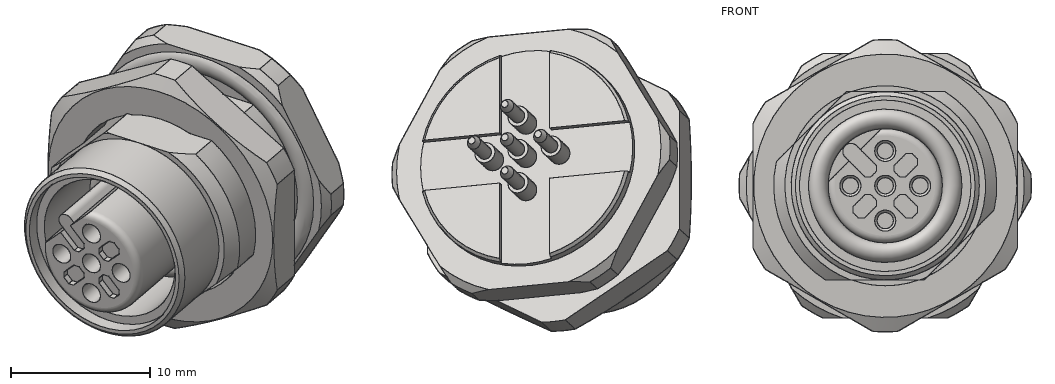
import cadquery as cq


insert_radius = 8.2 / 2
insert_edge_radius = 0.5
insert_flat = 3.1
key_angle = 135
pitch_radius = 2.5

hole_radius = 0.75
hole_seat_radius = 1.15 / 2
hole_depth = 3.0

pocket_width = 1.15
pocket_inner = 1.18
pocket_outer = 3.0
pocket_corner = 0.28
pocket_depth = 0.5
key_radius = pocket_width / 2
key_center = 3.5

sleeve_radius = 6.75
sleeve_front = 1.5
sleeve_chamfer = 0.3
mouth_radius = 12.3 / 2
mouth_depth = 1.0
bore_radius = 5.5
bore_floor = 8.97
ring_tube_radius = (bore_radius - insert_radius) / 2

body_radius = 8.0
body_front = 6.5
body_chamfer = 0.8
body_flat = sleeve_radius
flat_angles = (90, 135, 270, 315)

hex_width = 19.0
hex_corner_radius = 20.98 / 2
hex_chamfer = 0.52
nut_front = 9.49
nut_back = 12.35
nut_flat_angle = 0
nut_bore_radius = 7.17
nut_face_radius = 9.45
flange_front = 15.3
flange_back = 18.05
flange_flat_angle = 30

seal_center_radius = 8.61
seal_half_width = 0.7
seal_height = 0.28

slot_floor = 18.53
collar_back = 19.02
collar_chamfer = 0.21
slot_width = 3.78

pin_base_radius = 0.75
pin_base_back = 20.53
pin_radius = 0.5
pin_back = 23.6
pin_tip_radius = 0.25
pin_tip_length = 0.52


def turned(profile):
    """Solid of revolution about Y from (radius, y) points."""
    return cq.Workplane("XY").polyline(profile).close().revolve(360, (0, 0, 0), (0, 1, 0))


def cylinder(radius, front, back):
    return turned([(0, front), (radius, front), (radius, back), (0, back)])


def spun(shape, angle):
    """Turn a shape about Y so that its +X side points at the angle, from +X towards +Z."""
    return shape.rotate((0, 0, 0), (0, 1, 0), -angle)


def slab(inner, outer, width, front, back):
    """Block reaching from inner to outer along X, centred on the XY plane."""
    return cq.Workplane("XY").box(outer - inner, back - front, width).translate(
        ((inner + outer) / 2, (front + back) / 2, 0)
    )


def contact_positions():
    ring = [(pitch_radius, 0), (0, pitch_radius), (-pitch_radius, 0), (0, -pitch_radius)]
    return [(0, 0)] + ring


def hexagon(front, back, first_flat, envelope):
    """Hexagon prism along Y, trimmed by a turned envelope.

    The first flat faces the given angle, from +X towards +Z.
    """
    prism = envelope
    outside = slab(hex_width / 2, hex_width, 2 * hex_width, front, back)
    for side in range(6):
        prism = prism.cut(spun(outside, first_flat + 60 * side))
    return prism


def make_body():
    body = turned([
        (0, body_front),
        (body_radius - body_chamfer, body_front),
        (body_radius, body_front + body_chamfer),
        (body_radius, flange_front),
        (0, flange_front),
    ])
    side = slab(body_flat, 2 * body_radius, 2 * body_radius, body_front, flange_front)
    for angle in flat_angles:
        body = body.cut(spun(side, angle))
    sleeve = turned([
        (0, sleeve_front),
        (sleeve_radius - sleeve_chamfer, sleeve_front),
        (sleeve_radius, sleeve_front + sleeve_chamfer),
        (sleeve_radius, body_front),
        (0, body_front),
    ])
    mouth = cylinder(mouth_radius, sleeve_front, sleeve_front + mouth_depth)
    return body.union(sleeve).cut(mouth).cut(make_bore())


def make_bore():
    """Bore around the insert, its floor raised to a half-round O-ring."""
    ring_top = (bore_radius - ring_tube_radius, bore_floor - ring_tube_radius)
    profile = cq.Workplane("XY").moveTo(0, sleeve_front).lineTo(bore_radius, sleeve_front)
    profile = profile.lineTo(bore_radius, bore_floor)
    profile = profile.threePointArc(ring_top, (insert_radius, bore_floor))
    return profile.lineTo(0, bore_floor).close().revolve(360, (0, 0, 0), (0, 1, 0))


def make_nut():
    envelope = turned([
        (nut_bore_radius, nut_front),
        (nut_face_radius, nut_front),
        (hex_corner_radius, nut_front + hex_chamfer),
        (hex_corner_radius, nut_back),
        (nut_bore_radius, nut_back),
    ])
    return hexagon(nut_front, nut_back, nut_flat_angle, envelope)


def make_flange():
    face_radius = hex_corner_radius - hex_chamfer
    envelope = turned([
        (0, flange_front),
        (face_radius, flange_front),
        (hex_corner_radius, flange_front + hex_chamfer),
        (hex_corner_radius, flange_back - hex_chamfer),
        (face_radius, flange_back),
        (0, flange_back),
    ])
    return hexagon(flange_front, flange_back, flange_flat_angle, envelope)


def make_seal():
    crown = (seal_center_radius, flange_front - seal_height)
    profile = cq.Workplane("XY").moveTo(seal_center_radius - seal_half_width, flange_front)
    profile = profile.threePointArc(crown, (seal_center_radius + seal_half_width, flange_front))
    return profile.close().revolve(360, (0, 0, 0), (0, 1, 0))


def make_back():
    collar = turned([
        (0, flange_back),
        (body_radius, flange_back),
        (body_radius, collar_back - collar_chamfer),
        (body_radius - collar_chamfer, collar_back),
        (0, collar_back),
    ])
    slot = slab(-body_radius, body_radius, slot_width, slot_floor, collar_back)
    for angle in (0, 90):
        collar = collar.cut(spun(slot, angle))
    return collar


def make_insert():
    insert = cylinder(insert_radius, 0, bore_floor).faces("<Y").edges().fillet(insert_edge_radius)
    flat = slab(insert_flat, 2 * insert_radius, 2 * insert_radius, 0, bore_floor)
    insert = insert.cut(spun(flat, key_angle))

    rib = slab(pocket_inner, key_center, pocket_width, pocket_depth, bore_floor)
    rib = rib.union(cylinder(key_radius, pocket_depth, bore_floor).translate((key_center, 0, 0)))
    insert = insert.union(spun(rib, key_angle))

    pocket = slab(pocket_inner, pocket_outer, pocket_width, 0, pocket_depth)
    pocket = pocket.edges("|Y").chamfer(pocket_corner)
    for quarter_turn in range(4):
        insert = insert.cut(spun(pocket, key_angle + 90 * quarter_turn))

    runout_start = pocket_outer - 2 * pocket_corner
    insert = insert.cut(spun(slab(runout_start, key_center, pocket_width, 0, pocket_depth), key_angle))

    hole_bottom = hole_depth + hole_radius - hole_seat_radius
    hole = turned([
        (0, 0),
        (hole_radius, 0),
        (hole_radius, hole_depth),
        (hole_seat_radius, hole_bottom),
        (0, hole_bottom),
    ])
    for x, z in contact_positions():
        insert = insert.cut(hole.translate((x, 0, z)))
    return insert


def make_pin():
    return turned([
        (0, flange_back),
        (pin_base_radius, flange_back),
        (pin_base_radius, pin_base_back),
        (pin_radius, pin_base_back),
        (pin_radius, pin_back - pin_tip_length),
        (pin_tip_radius, pin_back),
        (0, pin_back),
    ])


result = make_body().union(make_insert())
for section in (make_nut(), make_flange(), make_seal(), make_back()):
    result = result.union(section)
for x, z in contact_positions():
    result = result.union(make_pin().translate((x, 0, z)))